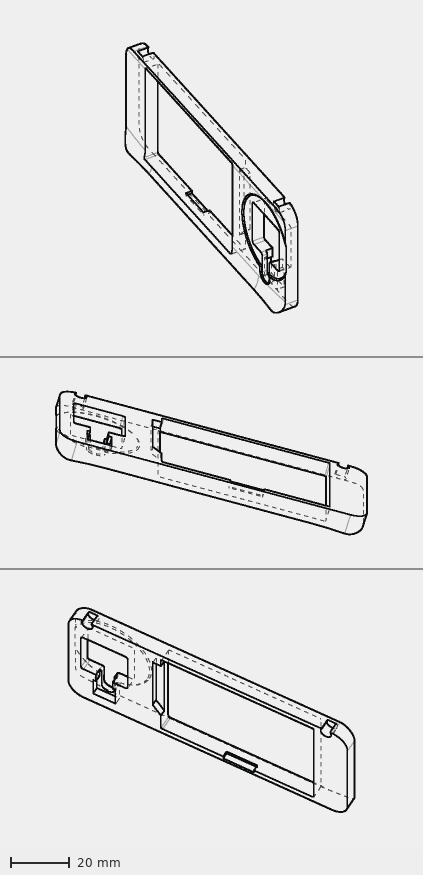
import cadquery as cq
import math

LENGTH = 109.0
HEIGHT = 44.6
CORNER_RADIUS = 6.0
PLATE = 5.0
MAX_DEPTH = 7.2

FLARE_RADIUS = 10.0
FLARE_TOP_Z = 19.3
FLARE_LOW_Z = -16.7
BEND_X = 36.0
BEND_RADIUS = 114.5
BEND_ANGLE = 12.0
FLAT_OVERLAP = 6.5

WINDOW_X = (-41.3, 18.3)
WINDOW_Z = (-19.8, 20.0)
WINDOW_RADIUS = 0.5

KEY_X = 40.4
KEY_Z = 3.3
SQUARE = 18.2
SQUARE_RADIUS = 0.9
SLOT_WIDTH = 5.0
SLOT_BOTTOM_Z = -16.4

RECESS_RADIUS = 15.6
RECESS_SLOT_WIDTH = 6.5
RECESS_SLOT_BOTTOM_Z = -16.8
RECESS_DEPTH = 0.4
RIM_WIDTH = 0.5

POCKET_DEPTH = 2.4
SIDE_POCKET_WIDTH = 3.3
SIDE_POCKET_Z = (-12.4, 16.4)
SIDE_POCKET_RISE = 4.0
CABLE_POCKET_DEPTH = 2.6
CABLE_POCKET_WIDTH = 8.7
CABLE_POCKET_Z = (-17.4, -9.6)
BACK_SLOT_WIDTH = 6.5
LEDGE_NOTCH_X = (-18.0, -6.0)
LEDGE_NOTCH_DROP = 1.1

TOP_NOTCH_X = (-46.1, 47.1)
TOP_NOTCH_RADIUS = 2.1
TOP_NOTCH_DROP = 1.3
TOP_NOTCH_DEPTH = 4.3

MARGIN = 5.5


def block(x_range, y_range, z_range):
    """Box filling the given X, Y and Z ranges."""
    size = [high - low for low, high in (x_range, y_range, z_range)]
    corner = (x_range[0], y_range[0], z_range[0])
    return cq.Workplane("XY").box(*size, centered=False).translate(corner)


def flare_profile(plane, edge, direction):
    """Front waste section in (y, edge) coordinates: a flat strip ending in a concave quarter circle."""
    inner = edge - direction * FLAT_OVERLAP
    half = math.sqrt(0.5) * FLARE_RADIUS
    center_y = -PLATE - FLARE_RADIUS
    return (
        cq.Workplane(plane)
        .moveTo(-PLATE, inner)
        .lineTo(-PLATE, edge)
        .threePointArc((center_y + half, edge + direction * half), (center_y, edge + direction * FLARE_RADIUS))
        .lineTo(center_y, inner)
        .close()
    )


def front_waste():
    """Everything in front of the flat face and its flares."""
    flat = block((-LENGTH, LENGTH), (-PLATE - FLARE_RADIUS, -PLATE),
                 (FLARE_LOW_Z + FLAT_OVERLAP / 2, FLARE_TOP_Z))
    top = flare_profile("YZ", FLARE_TOP_Z, 1).extrude(LENGTH, both=True)
    low = flare_profile("YZ", FLARE_LOW_Z, -1).extrude(BEND_X, both=True)
    bend = (
        flare_profile("YZ", -BEND_RADIUS, -1)
        .revolve(BEND_ANGLE, (0, 0, 0), (-1, 0, 0))
        .translate((BEND_X, 0, FLARE_LOW_Z + BEND_RADIUS))
    )
    return flat.union(top).union(low).union(bend).union(bend.mirror("YZ"))


def slot(width, bottom_z, depth, taper=0):
    """Round-ended slot from the middle of the square down to bottom_z, from y = 0 to -depth."""
    radius = width / 2
    return (
        cq.Workplane("XZ")
        .moveTo(KEY_X - radius, KEY_Z)
        .lineTo(KEY_X - radius, bottom_z + radius)
        .threePointArc((KEY_X, bottom_z), (KEY_X + radius, bottom_z + radius))
        .lineTo(KEY_X + radius, KEY_Z)
        .close()
        .extrude(depth, taper=taper)
    )


def key_opening():
    """Square hole and slot, with rounded corners all through."""
    square = cq.Workplane("XZ").center(KEY_X, KEY_Z).rect(SQUARE, SQUARE).extrude(MAX_DEPTH)
    opening = square.union(slot(SLOT_WIDTH, SLOT_BOTTOM_Z, MAX_DEPTH))
    square_corners = cq.selectors.BoxSelector(
        (KEY_X - SQUARE, -MAX_DEPTH, KEY_Z - SQUARE / 2 - SQUARE_RADIUS),
        (KEY_X + SQUARE, 0, KEY_Z + SQUARE),
    )
    return opening.edges("|Y").edges(square_corners).fillet(SQUARE_RADIUS)


def key_recess():
    """Disc and slot recess, widening from its floor to the front face."""
    taper = -math.degrees(math.atan2(RIM_WIDTH, RECESS_DEPTH))
    disc = (
        cq.Workplane("XZ").center(KEY_X, KEY_Z)
        .circle(RECESS_RADIUS - RIM_WIDTH)
        .extrude(RECESS_DEPTH, taper=taper)
    )
    channel = slot(
        RECESS_SLOT_WIDTH - 2 * RIM_WIDTH, RECESS_SLOT_BOTTOM_Z + RIM_WIDTH, RECESS_DEPTH, taper
    )
    return disc.union(channel).translate((0, RECESS_DEPTH - PLATE, 0))


def side_pocket():
    """Back rebate beside the window, with a slanted lower end."""
    x = WINDOW_X[1]
    low, high = SIDE_POCKET_Z
    return (
        cq.Workplane("XZ")
        .polyline([
            (x - SIDE_POCKET_WIDTH, low),
            (x, low),
            (x + SIDE_POCKET_WIDTH, low + SIDE_POCKET_RISE),
            (x + SIDE_POCKET_WIDTH, high),
            (x - SIDE_POCKET_WIDTH, high),
        ])
        .close()
        .extrude(POCKET_DEPTH)
    )


def top_notch(x):
    """Round blind hole from the back that breaks out through the top edge."""
    return (
        cq.Workplane("XZ")
        .center(x, HEIGHT / 2 - TOP_NOTCH_DROP)
        .circle(TOP_NOTCH_RADIUS)
        .extrude(TOP_NOTCH_DEPTH)
    )


body = (
    cq.Workplane("XZ").rect(LENGTH, HEIGHT).extrude(MAX_DEPTH)
    .edges("|Y").fillet(CORNER_RADIUS)
    .cut(front_waste())
)
window = block(WINDOW_X, (-MAX_DEPTH - MARGIN, MARGIN), WINDOW_Z).edges("|Y").fillet(WINDOW_RADIUS)
cable_pocket = block(
    (KEY_X - CABLE_POCKET_WIDTH / 2, KEY_X + CABLE_POCKET_WIDTH / 2), (-CABLE_POCKET_DEPTH, 0), CABLE_POCKET_Z
)
back_slot = block(
    (KEY_X - BACK_SLOT_WIDTH / 2, KEY_X + BACK_SLOT_WIDTH / 2), (-CABLE_POCKET_DEPTH, 0),
    (CABLE_POCKET_Z[0], KEY_Z)
)
ledge_notch = block(
    LEDGE_NOTCH_X, (-POCKET_DEPTH, 0), (WINDOW_Z[0] - LEDGE_NOTCH_DROP, WINDOW_Z[0] + MARGIN)
)

result = body.cut(window).cut(key_recess()).cut(key_opening())
result = result.cut(side_pocket()).cut(cable_pocket).cut(back_slot).cut(ledge_notch)
for notch_x in TOP_NOTCH_X:
    result = result.cut(top_notch(notch_x))